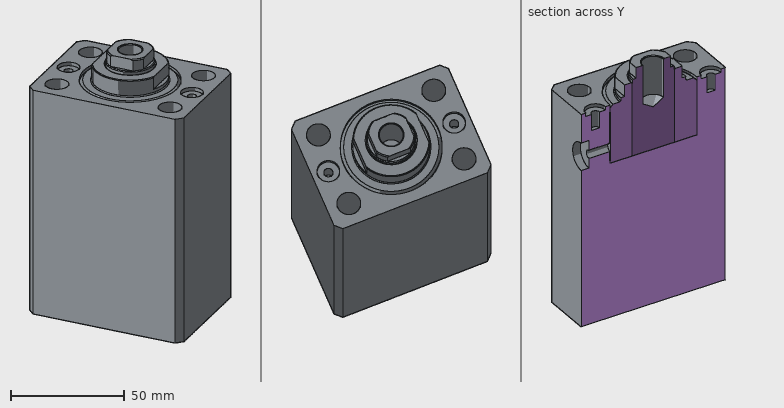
import cadquery as cq
import math


width = 75.0
depth = 55.0
height = 110.0
corner_chamfer = 3.0

mount_dia = 10.5
mount_pitch_x = 55.0
mount_pitch_y = 35.0

passage_dia = 4.0
top_port_dia = 10.0
top_port_recess = 1.8
top_port_pitch = 60.0
top_passage_depth = 10.0
side_port_dia = 14.0
side_port_recess = 4.0
side_port_below_top = 22.0

gland_dia = 45.0
gland_length = 30.0
gland_chamfer = 1.5
collar_dia = 34.0
collar_rise = 8.0
collar_chamfer = 0.4
collar_root_chamfer = 0.5
collar_flat_width = 30.0
collar_flat_start = 2.0
bore_chamfer = 0.5

rod_dia = 22.0
rod_rise = 9.5
rod_chamfer_drop = 0.4
tip_dia = 21.0
tip_rise = 15.0
tip_chamfer = 0.5
tip_flat_width = 18.0

tapped_dia = 10.5
tapped_depth = 20.0
tapped_chamfer = 0.4
drill_point_angle = 118.0

gland_floor = height - gland_length
collar_top = height + collar_rise
rod_shoulder = height + rod_rise
tip_top = height + tip_rise


def cylinder(diameter, bottom, top):
    """Upright cylinder on the Z axis between two heights."""
    return cq.Workplane("XY").workplane(offset=bottom).circle(diameter / 2).extrude(top - bottom)


def turned(profile):
    """Solid of revolution about the Z axis from (radius, height) points."""
    return cq.Workplane("XZ").polyline(profile).close().revolve(360, (0, 0), (0, 1))


def flats_cutter(across, blank_dia, bottom, top):
    """Material outside a pair of flats that face -X and +X on a round blank."""
    reach = (across + blank_dia) / 2
    return (
        cq.Workplane("XY")
        .workplane(offset=bottom)
        .pushPoints([(-reach, 0), (reach, 0)])
        .rect(blank_dia, 2 * blank_dia)
        .extrude(top - bottom)
    )


def make_housing():
    block = cq.Workplane("XY").rect(width, depth).extrude(height).edges("|Z").chamfer(corner_chamfer)
    block = (
        block.faces(">Z")
        .workplane()
        .rect(mount_pitch_x, mount_pitch_y, forConstruction=True)
        .vertices()
        .hole(mount_dia)
    )
    block = (
        block.faces(">Z")
        .workplane()
        .pushPoints([(-top_port_pitch / 2, 0), (top_port_pitch / 2, 0)])
        .cboreHole(passage_dia, top_port_dia, top_port_recess, top_passage_depth)
    )
    side_face = cq.Workplane("YZ", origin=(-width / 2, 0, height - side_port_below_top))
    block = block.cut(side_face.circle(side_port_dia / 2).extrude(side_port_recess))
    block = block.cut(side_face.circle(passage_dia / 2).extrude(width / 2))
    return block.cut(cylinder(gland_dia, gland_floor, height))


def make_gland():
    gland_radius = gland_dia / 2
    collar_radius = collar_dia / 2
    bore_radius = rod_dia / 2
    gland = turned(
        [
            (bore_radius, gland_floor),
            (gland_radius, gland_floor),
            (gland_radius, height - gland_chamfer),
            (gland_radius - gland_chamfer, height),
            (collar_radius + collar_root_chamfer, height),
            (collar_radius, height + collar_root_chamfer),
            (collar_radius, collar_top - collar_chamfer),
            (collar_radius - collar_chamfer, collar_top),
            (bore_radius + bore_chamfer, collar_top),
            (bore_radius, collar_top - bore_chamfer),
        ]
    )
    return gland.cut(flats_cutter(collar_flat_width, collar_dia, height + collar_flat_start, collar_top))


def make_rod():
    rod_radius = rod_dia / 2
    tip_radius = tip_dia / 2
    hole_radius = tapped_dia / 2
    hole_floor = tip_top - tapped_depth
    drill_point_length = hole_radius / math.tan(math.radians(drill_point_angle / 2))
    rod = turned(
        [
            (0, gland_floor),
            (rod_radius, gland_floor),
            (rod_radius, rod_shoulder - rod_chamfer_drop),
            (tip_radius, rod_shoulder),
            (tip_radius, tip_top - tip_chamfer),
            (tip_radius - tip_chamfer, tip_top),
            (hole_radius + tapped_chamfer, tip_top),
            (hole_radius, tip_top - tapped_chamfer),
            (hole_radius, hole_floor),
            (0, hole_floor - drill_point_length),
        ]
    )
    tip_flats = flats_cutter(tip_flat_width, tip_dia, rod_shoulder, tip_top)
    for turn in (0, 90):
        rod = rod.cut(tip_flats.rotate((0, 0, 0), (0, 0, 1), turn))
    return rod


housing = make_housing()
gland = make_gland()
rod = make_rod()

result = cq.Compound.makeCompound([housing.val(), gland.val(), rod.val()])